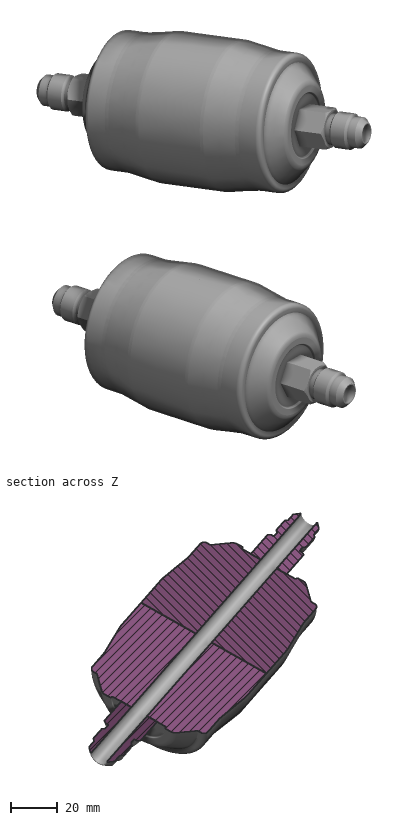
import cadquery as cq
import math

OVERALL_LENGTH = 155.6
BORE_RADIUS = 4.0

OVERALL_DIAMETER = 65.5
BARREL_RADIUS = OVERALL_DIAMETER / 2
BARREL_HALF_LENGTH = 15.4
CAN_RADIUS = 30.2
TAPER_END = 31.1
BARREL_EDGE_RADIUS = 9.3
TAPER_FOOT_RADIUS = 10.9
RIM_END = 42.0
RIM_FILLET = 2.0
DOME_BASE_RADIUS = 26.3
DOME_TOP_RADIUS = 18.5
DOME_FILLET = 3.5
SHELL_END = 49.0

RECESS_WALL_RADIUS = 14.0
RECESS_ROUND = 0.5
RECESS_FLOOR = SHELL_END - 2 * RECESS_ROUND

HEX_FLATS = 16.3
HEX_END = 61.3
HEX_CHAMFER_LENGTH = 0.8
NECK_DIAMETER = 13.5
NECK_RADIUS = NECK_DIAMETER / 2
THREAD_DIAMETER = 15.7
THREAD_RADIUS = THREAD_DIAMETER / 2
THREAD_START = 63.5
THREAD_END = 71.9
THREAD_CHAMFER = 1.0
TIP_CONE_START = 75.6
TIP_RADIUS = 4.5
TIP_END = OVERALL_LENGTH / 2


def revolve_about_x(profile):
    """Turn a closed (distance along X, radius) profile about the X axis."""
    return profile.close().revolve(360, (0, 0, 0), (1, 0, 0))


def cylinder_along_x(radius, start, end):
    return cq.Workplane("YZ", origin=(start, 0, 0)).circle(radius).extrude(end - start)


def fillet_ring(body, x, radius, fillet):
    """Round the circular edge of the given radius that lies at distance x."""
    margin = 0.08
    reach = radius + margin
    ring = cq.selectors.BoxSelector(
        (x - margin, -reach, -reach), (x + margin, reach, reach), boundingbox=True
    )
    return body.edges(ring).fillet(fillet)


def make_can():
    """Barrel, taper and straight rim on one side of the mid-plane."""
    outline = (
        cq.Workplane("XY")
        .lineTo(0, BARREL_RADIUS)
        .lineTo(BARREL_HALF_LENGTH, BARREL_RADIUS)
        .lineTo(TAPER_END, CAN_RADIUS)
        .lineTo(RIM_END, CAN_RADIUS)
        .lineTo(RIM_END, 0)
    )
    can = revolve_about_x(outline)
    can = fillet_ring(can, BARREL_HALF_LENGTH, BARREL_RADIUS, BARREL_EDGE_RADIUS)
    can = fillet_ring(can, TAPER_END, CAN_RADIUS, TAPER_FOOT_RADIUS)
    return fillet_ring(can, RIM_END, CAN_RADIUS, RIM_FILLET)


def make_dome():
    """Cone-shaped end of the shell with a rounded outer edge."""
    outline = (
        cq.Workplane("XY")
        .moveTo(RIM_END, 0)
        .lineTo(RIM_END, DOME_BASE_RADIUS)
        .lineTo(SHELL_END, DOME_TOP_RADIUS)
        .lineTo(SHELL_END, 0)
    )
    return fillet_ring(revolve_about_x(outline), SHELL_END, DOME_TOP_RADIUS, DOME_FILLET)


def make_end_recess():
    """Tool that cuts the shallow recess; its wall is two opposite quarter rounds."""
    outline = (
        cq.Workplane("XY")
        .moveTo(RECESS_FLOOR, 0)
        .lineTo(RECESS_FLOOR, RECESS_WALL_RADIUS - RECESS_ROUND)
        .radiusArc((RECESS_FLOOR + RECESS_ROUND, RECESS_WALL_RADIUS), RECESS_ROUND)
        .radiusArc((SHELL_END, RECESS_WALL_RADIUS + RECESS_ROUND), -RECESS_ROUND)
        .lineTo(SHELL_END, 0)
    )
    return revolve_about_x(outline)


def make_shell_half():
    """Half of the shell on the +X side, with an end recess and a central passage."""
    blank = make_can().union(make_dome())
    passage = cylinder_along_x(BORE_RADIUS, 0, SHELL_END)
    return blank.cut(make_end_recess()).cut(passage)


def make_hexagon():
    """Hexagon with flats facing up and down, its outer corners chamfered."""
    flat_radius = HEX_FLATS / 2
    corner_radius = flat_radius / math.cos(math.radians(30))
    prism = (
        cq.Workplane("YZ", origin=(RECESS_FLOOR, 0, 0))
        .polygon(6, 2 * corner_radius)
        .extrude(HEX_END - RECESS_FLOOR)
    )
    envelope = (
        cq.Workplane("XY")
        .moveTo(RECESS_FLOOR, 0)
        .lineTo(RECESS_FLOOR, corner_radius)
        .lineTo(HEX_END - HEX_CHAMFER_LENGTH, corner_radius)
        .lineTo(HEX_END, flat_radius)
        .lineTo(HEX_END, 0)
    )
    return prism.intersect(revolve_about_x(envelope))


def make_nozzle():
    """Turned end of the fitting: neck, thread and conical tip."""
    outline = (
        cq.Workplane("XY")
        .moveTo(HEX_END, 0)
        .lineTo(HEX_END, NECK_RADIUS)
        .lineTo(THREAD_START, NECK_RADIUS)
        .lineTo(THREAD_START + THREAD_CHAMFER, THREAD_RADIUS)
        .lineTo(THREAD_END - THREAD_CHAMFER, THREAD_RADIUS)
        .lineTo(THREAD_END, NECK_RADIUS)
        .lineTo(TIP_CONE_START, NECK_RADIUS)
        .lineTo(TIP_END, TIP_RADIUS)
        .lineTo(TIP_END, 0)
    )
    return revolve_about_x(outline)


def make_fitting():
    """Flare fitting on the +X side, standing on the floor of the end recess."""
    blank = make_hexagon().union(make_nozzle())
    return blank.cut(cylinder_along_x(BORE_RADIUS, RECESS_FLOOR, TIP_END))


bodies = []
for make_body in (make_shell_half, make_fitting):
    right_body = make_body()
    left_body = right_body.mirror("YZ")
    bodies += [right_body.val(), left_body.val()]

result = cq.Compound.makeCompound(bodies)